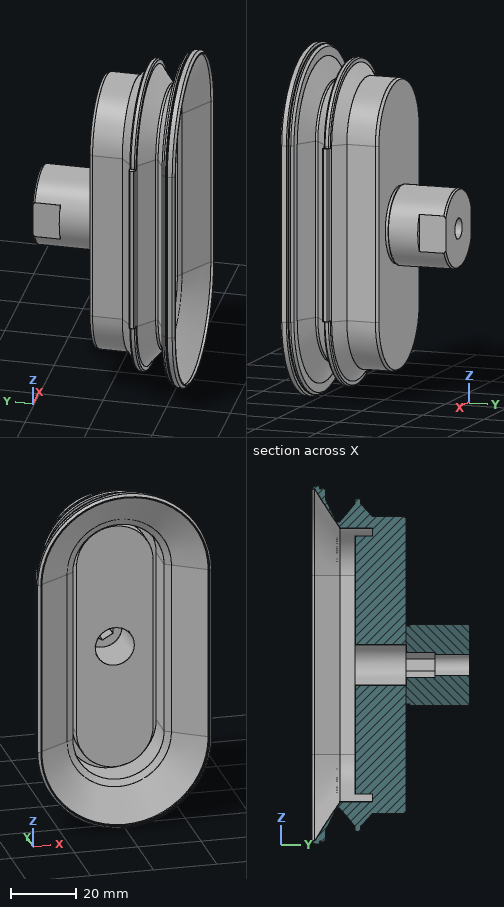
import cadquery as cq
TOTAL_LENGTH = 110.0
TOTAL_DEPTH = 48.4
LIP_RADIUS = 27.5
STRAIGHT_LENGTH = TOTAL_LENGTH - 2 * LIP_RADIUS

FACE_RADIUS = 26.7
FACE_CHAMFER_DEPTH = 0.8
FRONT_BEAD_END_Y = 2.3
GROOVE_RADIUS = 26.6
GROOVE_FRONT_Y = 2.5
GROOVE_BACK_Y = 2.8
BACK_BEAD_RADIUS = 27.0
BACK_BEAD_START_Y = 3.0
BACK_BEAD_CHAMFER = 0.8
LIP_BACK_Y = 4.3
LIP_CONE_RADIUS = 23.3

NECK_RADIUS = 16.5
NECK_FRONT_Y = 7.7
NECK_BACK_Y = 8.5
FOLD_ROOT_RADIUS = 22.0
FOLD_RIM_RADIUS = 23.6
FOLD_CHAMFER = 0.4
FOLD_FRONT_Y = 13.1
FOLD_BACK_Y = 15.1
SLEEVE_RADIUS = 18.2
SLEEVE_FRONT_Y = 18.6
SLEEVE_BACK_Y = 28.9
SLEEVE_EDGE_INSET = 0.4
SLEEVE_EDGE_DEPTH = 1.0

BAR_REACH = 25.0
BAR_LENGTH = 53.9

MOUTH_RADIUS = 26.4
MOUTH_WALL_DEPTH = 0.9
THROAT_RADIUS = 14.4
THROAT_Y = 8.7
MOAT_FLOOR_Y = SLEEVE_FRONT_Y
ISLAND_RADIUS = 12.1
ISLAND_Y = 13.3
CUP_HOLE_RADIUS = 6.2

FITTING_RADIUS = 12.5
FOOT_RADIUS = 12.1
FOOT_DEPTH = 1.1
FITTING_INSET = 0.3
FITTING_CHAMFER = 0.7
FLATS_WIDTH = 22.2
FLATS_LENGTH = 8.7
HEX_ACROSS_FLATS = 6.6
HEX_DEPTH = 8.8
BORE_RADIUS = 3.2


def oblong(section):
    """Solid whose (radius, y) section runs from axis to axis, carried around the oblong."""
    half = STRAIGHT_LENGTH / 2
    mirrored = [(-radius, y) for radius, y in reversed(section[1:-1])]
    body = cq.Workplane("XY").workplane(offset=-half).polyline(section + mirrored).close()
    body = body.extrude(STRAIGHT_LENGTH)
    for z in (-half, half):
        end = cq.Workplane("XY").workplane(offset=z).polyline(section).close()
        body = body.union(end.revolve(360, (0, 0, 0), (0, 1, 0)))
    return body


def oblong_plate(radius, front, back):
    return oblong([(0, front), (radius, front), (radius, back), (0, back)])


def cylinder(radius, front, back):
    return cq.Workplane("XZ", origin=(0, front, 0)).circle(radius).extrude(front - back)


def make_cup():
    cup = oblong([
        (0, 0),
        (FACE_RADIUS, 0),
        (LIP_RADIUS, FACE_CHAMFER_DEPTH),
        (LIP_RADIUS, FRONT_BEAD_END_Y),
        (GROOVE_RADIUS, GROOVE_FRONT_Y),
        (GROOVE_RADIUS, GROOVE_BACK_Y),
        (BACK_BEAD_RADIUS, BACK_BEAD_START_Y),
        (BACK_BEAD_RADIUS, LIP_BACK_Y - BACK_BEAD_CHAMFER),
        (BACK_BEAD_RADIUS - BACK_BEAD_CHAMFER, LIP_BACK_Y),
        (LIP_CONE_RADIUS, LIP_BACK_Y),
        (NECK_RADIUS, NECK_FRONT_Y),
        (NECK_RADIUS, NECK_BACK_Y),
        (FOLD_ROOT_RADIUS, FOLD_FRONT_Y),
        (FOLD_RIM_RADIUS - FOLD_CHAMFER, FOLD_FRONT_Y),
        (FOLD_RIM_RADIUS, FOLD_FRONT_Y + FOLD_CHAMFER),
        (FOLD_RIM_RADIUS, FOLD_BACK_Y - FOLD_CHAMFER),
        (FOLD_RIM_RADIUS - FOLD_CHAMFER, FOLD_BACK_Y),
        (FOLD_ROOT_RADIUS, FOLD_BACK_Y),
        (SLEEVE_RADIUS, SLEEVE_FRONT_Y),
        (SLEEVE_RADIUS, SLEEVE_BACK_Y - SLEEVE_EDGE_DEPTH),
        (SLEEVE_RADIUS - SLEEVE_EDGE_INSET, SLEEVE_BACK_Y),
        (0, SLEEVE_BACK_Y),
    ])
    bar = cq.Workplane("XY").box(2 * BAR_REACH, FOLD_BACK_Y - FOLD_FRONT_Y, BAR_LENGTH)
    bar = bar.edges("|Z").chamfer(FOLD_CHAMFER)
    cup = cup.union(bar.translate((0, (FOLD_FRONT_Y + FOLD_BACK_Y) / 2, 0)))

    cavity = oblong([
        (0, 0),
        (MOUTH_RADIUS, 0),
        (MOUTH_RADIUS, MOUTH_WALL_DEPTH),
        (THROAT_RADIUS, THROAT_Y),
        (THROAT_RADIUS, MOAT_FLOOR_Y),
        (0, MOAT_FLOOR_Y),
    ])
    cavity = cavity.cut(oblong_plate(ISLAND_RADIUS, ISLAND_Y, MOAT_FLOOR_Y))
    return cup.cut(cavity).cut(cylinder(CUP_HOLE_RADIUS, 0, SLEEVE_BACK_Y))


def make_fitting():
    foot_top = SLEEVE_BACK_Y + FOOT_DEPTH
    section = [
        (0, SLEEVE_BACK_Y),
        (FOOT_RADIUS, SLEEVE_BACK_Y),
        (FOOT_RADIUS, foot_top),
        (FITTING_RADIUS, foot_top),
        (FITTING_RADIUS, TOTAL_DEPTH - FITTING_CHAMFER),
        (FITTING_RADIUS - FITTING_INSET, TOTAL_DEPTH),
        (0, TOTAL_DEPTH),
    ]
    fitting = cq.Workplane("XY").polyline(section).close().revolve(360, (0, 0, 0), (0, 1, 0))

    flat_depth = FITTING_RADIUS - FLATS_WIDTH / 2
    for side in (-1, 1):
        flat = cq.Workplane("XY").box(flat_depth, FLATS_LENGTH, 2 * FITTING_RADIUS)
        x = side * (FLATS_WIDTH + flat_depth) / 2
        fitting = fitting.cut(flat.translate((x, TOTAL_DEPTH - FLATS_LENGTH / 2, 0)))

    socket = cq.Workplane("XZ", origin=(0, SLEEVE_BACK_Y, 0))
    socket = socket.polygon(6, HEX_ACROSS_FLATS, circumscribed=True).extrude(-HEX_DEPTH)
    return fitting.cut(socket).cut(cylinder(BORE_RADIUS, SLEEVE_BACK_Y, TOTAL_DEPTH))


cup = make_cup()
fitting = make_fitting()

result = cq.Compound.makeCompound([cup.val(), fitting.val()])